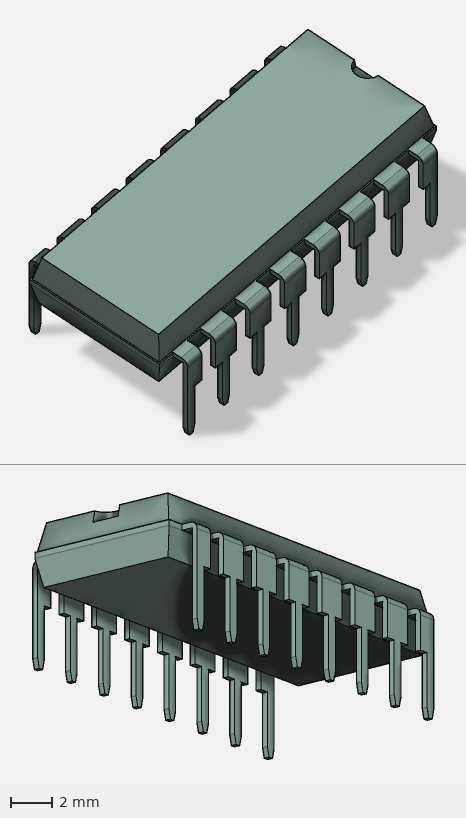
import cadquery as cq


body_length = 20.32
body_width = 8.3
upper_height = 1.52
lower_height = 1.46
ledge = 0.08
draft_angle = 12.0

notch_radius = 0.77
notch_depth = 0.6
notch_inset = 0.3

leads_per_row = 8
lead_pitch = 2.55
lead_span = 10.15
lead_thickness = 0.3
bend_radius = 0.4
lead_drop = 5.47
wide_drop = 2.2
wide_width = 1.55
pin_width = 0.53
tip_width = 0.26
tip_length = 0.5


def make_body():
    """Thin straight band with a drafted block above it and another below it."""
    band = cq.Workplane("XY").rect(body_width, body_length).extrude(-lead_thickness)
    upper = (
        cq.Workplane("XY")
        .rect(body_width - 2 * ledge, body_length - 2 * ledge)
        .extrude(upper_height, taper=draft_angle)
    )
    lower = (
        cq.Workplane("XY", origin=(0, 0, -lead_thickness))
        .rect(body_width, body_length)
        .extrude(-lower_height, taper=draft_angle)
    )
    return band.union(upper).union(lower)


def make_notch():
    """Round cutter that breaks out through the sloping +Y end."""
    centre_y = body_length / 2 - notch_inset
    return (
        cq.Workplane("XY", origin=(0, centre_y, upper_height))
        .circle(notch_radius)
        .extrude(-notch_depth)
    )


def make_bent_sheet():
    """Sheet over the full row length, crossing the body and bent down on both sides."""
    inner_span = lead_span - 2 * lead_thickness
    outer_block = (
        cq.Workplane("XY")
        .rect(lead_span, body_length)
        .extrude(-lead_drop)
        .edges("|Y and >Z")
        .fillet(bend_radius)
    )
    hollow = (
        cq.Workplane("XY", origin=(0, 0, -lead_thickness))
        .rect(inner_span, body_length)
        .extrude(-lead_drop)
    )
    return outer_block.cut(hollow)


def make_lead_blank(y, at_low_end, at_high_end):
    """Bar along X with the side outline of one lead: wide shoulder, narrow pin, tapered tip."""
    half_pin = pin_width / 2
    half_tip = tip_width / 2
    low_side = half_pin if at_low_end else wide_width / 2
    high_side = half_pin if at_high_end else wide_width / 2
    shoulder = (
        cq.Workplane("YZ")
        .moveTo(y - low_side, 0)
        .lineTo(y + high_side, 0)
        .lineTo(y + high_side, -wide_drop)
        .lineTo(y - low_side, -wide_drop)
        .close()
        .extrude(lead_span / 2, both=True)
    )
    pin = (
        cq.Workplane("YZ")
        .moveTo(y - half_pin, 0)
        .lineTo(y + half_pin, 0)
        .lineTo(y + half_pin, tip_length - lead_drop)
        .lineTo(y + half_tip, -lead_drop)
        .lineTo(y - half_tip, -lead_drop)
        .lineTo(y - half_pin, tip_length - lead_drop)
        .close()
        .extrude(lead_span / 2, both=True)
    )
    return shoulder.union(pin)


sheet = make_bent_sheet()
result = make_body().cut(make_notch())
for index in range(leads_per_row):
    lead_y = (index - (leads_per_row - 1) / 2) * lead_pitch
    blank = make_lead_blank(lead_y, index == 0, index == leads_per_row - 1)
    result = result.union(sheet.intersect(blank))